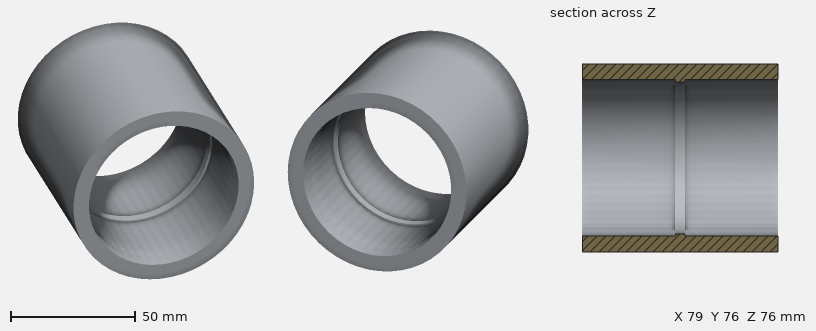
import cadquery as cq

length = 79.0
outer_diameter = 76.0
socket_diameter = 63.0
stop_diameter = 61.0
stop_width = 3.95
socket_depth = (length - stop_width) / 2


def cylinder_along_x(start, diameter, depth):
    """Cylinder on the X axis from x = start to x = start + depth."""
    return cq.Workplane("YZ", origin=(start, 0, 0)).circle(diameter / 2).extrude(depth)


sleeve = cylinder_along_x(0, outer_diameter, length)
through_bore = cylinder_along_x(0, stop_diameter, length)

result = sleeve.cut(through_bore)
for socket_start in (0, length - socket_depth):
    result = result.cut(cylinder_along_x(socket_start, socket_diameter, socket_depth))